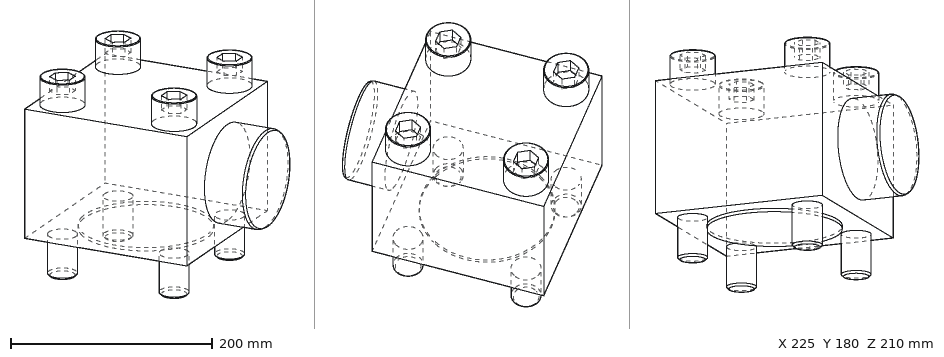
import cadquery as cq

block_side = 180.0
block_height = 136.5

pilot_diameter = 135.0
pilot_height = 3.4

pipe_diameter = 101.7
pipe_length = 45.0
pipe_axis_height = 69.3
pipe_chamfer_length = 3.0
pipe_chamfer_depth = 1.4

screw_spacing = 123.8
screw_diameter = 30.0
screw_tip_chamfer = 2.2
head_diameter = 45.0
head_height = 30.0
head_chamfer = 1.0
socket_across_flats = 22.0
socket_depth = 15.0
total_height = 210.0
screw_projection = total_height - head_height - block_height


def make_block():
    block = cq.Workplane("XY").box(block_side, block_side, block_height, centered=(True, True, False))
    pilot = cq.Workplane("XY").circle(pilot_diameter / 2).extrude(-pilot_height)
    return block.union(pilot)


def make_pipe():
    return (
        cq.Workplane("YZ", origin=(block_side / 2, 0, pipe_axis_height))
        .circle(pipe_diameter / 2)
        .extrude(pipe_length)
        .faces(">X")
        .chamfer(pipe_chamfer_length, pipe_chamfer_depth)
    )


def make_screw():
    """Screw on the Z axis: threaded end below the block, head resting on its top."""
    shank = (
        cq.Workplane("XY", origin=(0, 0, -screw_projection))
        .circle(screw_diameter / 2)
        .extrude(screw_projection + block_height)
        .faces("<Z")
        .chamfer(screw_tip_chamfer)
    )
    head = (
        cq.Workplane("XY", origin=(0, 0, block_height))
        .circle(head_diameter / 2)
        .extrude(head_height)
        .faces(">Z")
        .chamfer(head_chamfer)
    )
    socket = (
        cq.Workplane("XY", origin=(0, 0, block_height + head_height))
        .polygon(6, socket_across_flats, circumscribed=True)
        .extrude(-socket_depth)
    )
    return shank.union(head).cut(socket)


result = make_block().union(make_pipe())
screw = make_screw()
for x_side in (-1, 1):
    for y_side in (-1, 1):
        screw_position = (x_side * screw_spacing / 2, y_side * screw_spacing / 2, 0)
        result = result.union(screw.translate(screw_position))